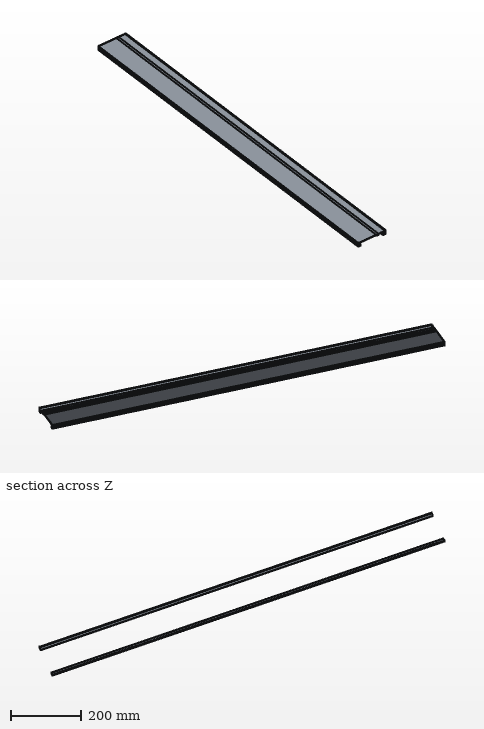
import cadquery as cq

length = 1200.0
width = 100.0
height = 13.0
sheet_thickness = 2.0
lip_width = 10.0
lip_height = 3.0

strip_width = 8.0
strip_thickness = 3.0
strip_from_back = 25.0

back_y = width / 2
sheet_bottom = height - sheet_thickness


def bar(y_start, y_end, z_start, z_end):
    """Full-length rectangular bar, centred along X."""
    return (
        cq.Workplane("XY")
        .box(length, y_end - y_start, z_end - z_start, centered=(True, False, False))
        .translate((0, y_start, z_start))
    )


def make_cover():
    """C-shaped cover: a flat sheet with a side wall and inward lip along each long edge."""
    blank = bar(-back_y, back_y, 0, height)
    wall_inner_y = back_y - sheet_thickness
    lip_inner_y = back_y - lip_width
    cavity = bar(-wall_inner_y, wall_inner_y, lip_height, sheet_bottom)
    mouth = bar(-lip_inner_y, lip_inner_y, 0, lip_height)
    return blank.cut(cavity).cut(mouth)


def make_strip():
    """Rectangular strip lying against the underside of the sheet."""
    strip_back_y = back_y - strip_from_back
    return bar(strip_back_y - strip_width, strip_back_y, sheet_bottom - strip_thickness, sheet_bottom)


cover = make_cover()
strip = make_strip()

result = cq.Compound.makeCompound([cover.val(), strip.val()])